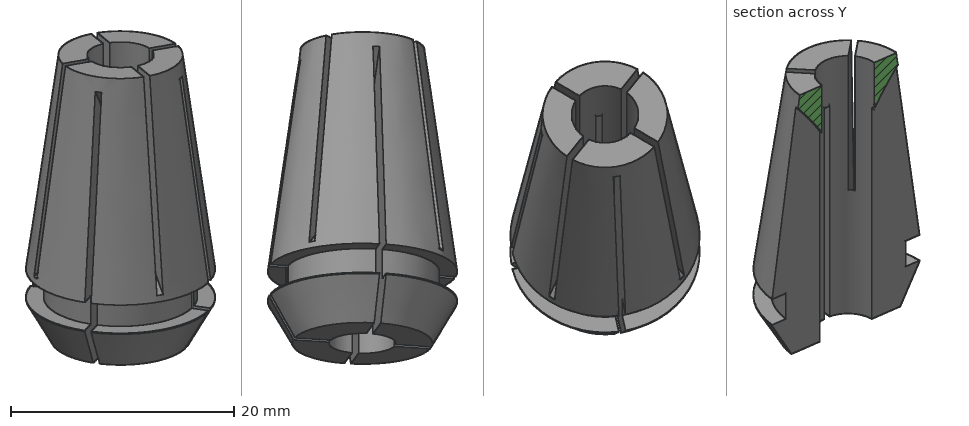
import cadquery as cq
import math

height = 27.5
max_radius = 8.5
nose_radius = 6.27
tail_radius = 5.58
groove_radius = 6.9
bore_radius = 3.0

lip_top = 4.02
lip_height = 0.1
groove_top = 6.75

slot_width = 0.6
slots_per_set = 4
saw_radius = 29.98
lower_slot_outer_end = 26.12
lower_slot_inner_end = 22.45
upper_slot_outer_end = 7.35
upper_slot_inner_end = 13.2
clearance = 0.82


def cone_radius(z):
    """Radius of the long upper cone at height z."""
    fraction = (z - groove_top) / (height - groove_top)
    return max_radius + fraction * (tail_radius - max_radius)


def make_body():
    profile = [
        (bore_radius, 0),
        (nose_radius, 0),
        (max_radius, lip_top - lip_height),
        (max_radius, lip_top),
        (groove_radius, lip_top),
        (groove_radius, groove_top),
        (max_radius, groove_top),
        (tail_radius, height),
        (bore_radius, height),
    ]
    section = cq.Workplane("XZ").polyline(profile).close()
    return section.revolve(360, (0, 0, 0), (0, 1, 0))


def make_slot(open_z, outer_z, inner_z):
    """Radial slot along +X, from beyond the end at open_z to an arc through the wall."""
    outer_r = cone_radius(outer_z)
    run = outer_r - bore_radius
    rise = outer_z - inner_z
    half_chord = math.hypot(run, rise) / 2
    sagitta = saw_radius - math.sqrt(saw_radius**2 - half_chord**2)

    bulge = sagitta / (2 * half_chord)
    middle = (
        (bore_radius + outer_r) / 2 - bulge * abs(rise),
        (inner_z + outer_z) / 2 + bulge * math.copysign(run, rise),
    )
    core_r = bore_radius - clearance
    far_r = max_radius + clearance
    return (
        cq.Workplane("XZ")
        .moveTo(core_r, open_z)
        .lineTo(core_r, inner_z)
        .lineTo(bore_radius, inner_z)
        .threePointArc(middle, (outer_r, outer_z))
        .lineTo(far_r, outer_z)
        .lineTo(far_r, open_z)
        .close()
        .extrude(slot_width / 2, both=True)
    )


def cut_slot_set(body, slot, start_angle):
    for index in range(slots_per_set):
        angle = start_angle + index * 360 / slots_per_set
        body = body.cut(slot.rotate((0, 0, 0), (0, 0, 1), angle))
    return body


lower_slot = make_slot(-clearance, lower_slot_outer_end, lower_slot_inner_end)
upper_slot = make_slot(height + clearance, upper_slot_outer_end, upper_slot_inner_end)

result = cut_slot_set(make_body(), lower_slot, 0)
result = cut_slot_set(result, upper_slot, 180 / slots_per_set)